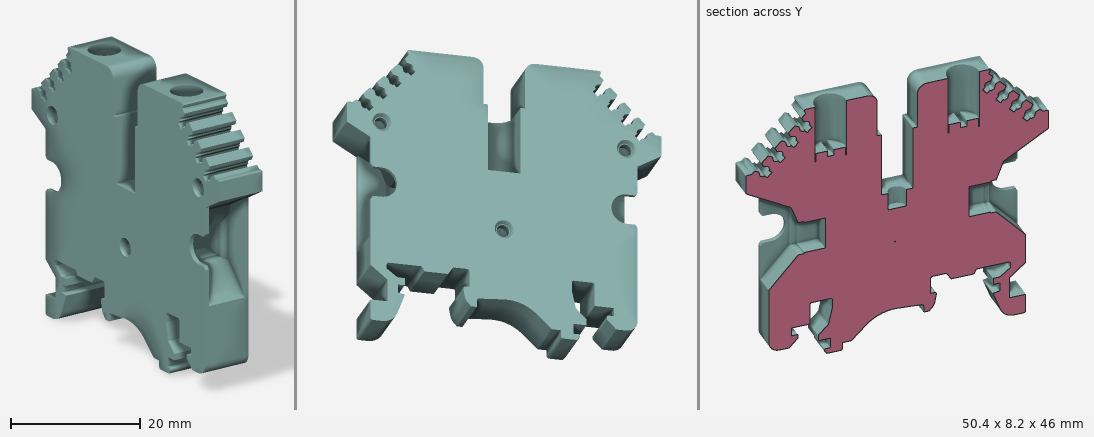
import cadquery as cq
import math

LENGTH = 50.44
WIDTH = 8.2
HEIGHT = 46.0
FRONT_Y = -WIDTH / 2
BACK_Y = WIDTH / 2
SIDE_X = 21.42
EDGE_R = 0.4
TIP_EDGE_R = 0.2
OVERCUT = 1.0

TIP_X = LENGTH / 2
TIP_TOP_Z = 36.22
TIP_BOTTOM_Z = 32.82
WING_ROOT_Z = 30.65
SLOPE_OFFSET = 60.48
TOP_EDGE_X = 15.35
TOP_LIP_X = 15.55
TOP_LIP_Z = 45.75
TIP_LEDGE_X = 24.3
SLOPE_TOP_X = 15.3
SLOPE_BOTTOM_X = 23.77

GROOVE_COUNT = 4
GROOVE_FIRST_X = 16.51
GROOVE_STEP_X = 2.23
GROOVE_DEPTH = 2.69
MOUTH_HALF = 0.79
NECK_HALF = 0.53
NECK_DEPTH = 0.75
BULB_HALF = 0.95
BULB_TOP_DEPTH = 1.5
BULB_BOTTOM_DEPTH = 2.0
SHOULDER_HALF = 0.75
KEY_HALF = 0.53

SLOT_HALF = 3.3
SLOT_FLOOR_Z = 38.32
SLOT_CORNER_R = 1.7
SOCKET_DIAMETER = 5.2
SOCKET_FLOOR_Z = 27.32
SOCKET_BACK_Y = FRONT_Y + 6.85
SOCKET_HOLE_DIAMETER = 3.0
SOCKET_HOLE_DEPTH = 3.0

SCREW_X = 11.05
SCREW_Y = -0.3
SHAFT_DIAMETER = 5.2
SHAFT_DEPTH = 10.0
HEAD_DIAMETER = 5.05
HEAD_HEIGHT = 1.5
DRIVE_SLOT_WIDTH = 1.0
DRIVE_SLOT_DEPTH = 1.0

RIVET_POSITIONS = [(-19.6, 33.42), (19.6, 33.42), (0.0, 17.65)]
RIVET_DIAMETER = 3.0
RIVET_STEP_DIAMETER = 2.3
RIVET_STEP_DEPTH = 0.7
RIVET_BORE_DIAMETER = 2.0
RIVET_BORE_DEPTH = 2.0

WALL = 0.73
FUNNEL_SILL_Z = 14.3
FUNNEL_KNEE_X = 17.75
TAPER_START_X = 16.9
FRONT_TAPER_START_X = 16.68
ENTRY_X = 16.5
ENTRY_BOTTOM_Z = 19.65
ENTRY_TOP_Z = 25.45
ENTRY_FRONT_Y = FRONT_Y + 1.1
ENTRY_BACK_Y = BACK_Y - 1.65
ENTRY_STEP = 0.2
ENTRY_STEP_DEPTH = 0.95
ENTRY_END_X = 12.0

NOTCH_Z = 23.3
NOTCH_R = 2.45
NOTCH_CENTRE_X = 19.65
NOTCH_FLARE_X = 0.4
NOTCH_FLARE_Z = 0.5


def rounded_outline(corners):
    """Closed XZ wire from (x, z) corners or (x, z, radius) rounded corners."""
    sections = []
    count = len(corners)
    for i, corner in enumerate(corners):
        x, z = corner[:2]
        if len(corner) == 2:
            sections.append([(x, z)])
            continue
        before = corners[i - 1]
        after = corners[(i + 1) % count]
        to_before = cq.Vector(before[0] - x, before[1] - z).normalized()
        to_after = cq.Vector(after[0] - x, after[1] - z).normalized()
        half_angle = to_before.getAngle(to_after) / 2
        tangent_length = corner[2] / math.tan(half_angle)
        arc_mid_reach = corner[2] / math.sin(half_angle) - corner[2]
        point = cq.Vector(x, z)
        start = point + to_before * tangent_length
        middle = point + (to_before + to_after).normalized() * arc_mid_reach
        end = point + to_after * tangent_length
        sections.append([(v.x, v.y) for v in (start, middle, end)])

    path = cq.Workplane("XZ", origin=(0, BACK_Y, 0)).moveTo(*sections[0][-1])
    for section in sections[1:] + sections[:1]:
        path = path.lineTo(*section[0])
        if len(section) > 1:
            path = path.threePointArc(*section[1:])
    return path.close()


def shoulder(side):
    """Corners of one upper shoulder, from the central slot out to the body side."""
    right_hand = [
        (SLOT_HALF, SLOT_FLOOR_Z),
        (SLOT_HALF, HEIGHT, SLOT_CORNER_R),
        (TOP_EDGE_X, HEIGHT),
        (TOP_LIP_X, TOP_LIP_Z),
        (SLOPE_TOP_X, SLOPE_OFFSET - SLOPE_TOP_X),
        (SLOPE_BOTTOM_X, SLOPE_OFFSET - SLOPE_BOTTOM_X),
        (TIP_LEDGE_X, TIP_TOP_Z),
        (TIP_X, TIP_TOP_Z, TIP_EDGE_R),
        (TIP_X, TIP_BOTTOM_Z),
        (SIDE_X, WING_ROOT_Z),
    ]
    return [(side * x, *rest) for x, *rest in right_hand]


RIGHT_FOOT = [
    (SIDE_X, 2.9, 1.8),
    (18.0, 2.9),
    (16.5, 4.4),
    (16.5, 5.1, 0.2),
    (17.6, 5.1),
    (17.6, 6.45),
    (14.5, 6.45, 0.2),
    (14.5, 10.3, 0.3),
    (10.85, 10.3, 0.3),
    (10.85, 8.6),
    (11.5, 5.7),
    (13.2, 4.1),
    (13.2, 3.05),
    (11.15, 3.05),
    (11.15, 1.4),
    (12.15, 1.4, 0.3),
    (12.15, 0.95),
    (11.7, 0.4),
    (9.1, 0.4, 0.4),
    (9.1, 1.75),
    (7.65, 1.75, 0.5),
]
UNDERSIDE = [
    (3.0, 6.1, 7.0),
    (-4.4, 5.52, 0.4),
    (-4.4, 4.1),
    (-5.3, 4.1),
    (-6.2, 5.1, 1.5),
    (-6.65, 7.35, 0.4),
    (-5.6, 7.35),
    (-5.6, 10.3, 0.3),
    (-8.2, 10.3, 0.1),
    (-9.0, 9.1),
    (-12.8, 9.1),
    (-13.2, 9.9, 0.2),
]
LEFT_FOOT = [
    (-18.85, 9.9, 0.4),
    (-18.85, 8.9),
    (-17.1, 7.6, 0.6),
    (-15.95, 7.6),
    (-15.95, 6.4),
    (-17.05, 6.4),
    (-17.05, 5.05),
    (-15.9, 4.85),
    (-17.75, 0.0, 2.6),
    (-SIDE_X, 0.0, EDGE_R),
    (-SIDE_X, 3.4),
    (-18.7, 3.4),
    (-18.7, 7.0),
    (-SIDE_X, 9.2),
]


def make_body():
    corners = shoulder(1) + RIGHT_FOOT + UNDERSIDE + LEFT_FOOT + shoulder(-1)[::-1]
    return rounded_outline(corners).extrude(WIDTH)


def make_grip_groove(index):
    """Keyhole groove on the right shoulder, running the full width."""
    half_profile = [
        (MOUTH_HALF, -OVERCUT),
        (MOUTH_HALF, 0),
        (NECK_HALF, NECK_DEPTH),
        (BULB_HALF, BULB_TOP_DEPTH),
        (SHOULDER_HALF, BULB_BOTTOM_DEPTH),
        (KEY_HALF, BULB_BOTTOM_DEPTH),
        (KEY_HALF, GROOVE_DEPTH),
    ]
    profile = half_profile + [(-across, depth) for across, depth in half_profile[::-1]]
    mouth_x = GROOVE_FIRST_X + index * GROOVE_STEP_X
    mouth_z = SLOPE_OFFSET - mouth_x
    diagonal = math.sqrt(0.5)
    points = [
        (mouth_x + (across - depth) * diagonal, mouth_z - (across + depth) * diagonal)
        for across, depth in profile
    ]
    return cq.Workplane("XZ", origin=(0, BACK_Y, 0)).polyline(points).close().extrude(WIDTH)


def make_socket():
    """Round-backed socket open to the front face, with a hole in its floor."""
    radius = SOCKET_DIAMETER / 2
    centre_y = SOCKET_BACK_Y - radius
    depth = SLOT_FLOOR_Z - SOCKET_FLOOR_Z
    socket = (
        cq.Workplane("XY", origin=(0, 0, SOCKET_FLOOR_Z))
        .moveTo(-radius, FRONT_Y - OVERCUT)
        .lineTo(radius, FRONT_Y - OVERCUT)
        .lineTo(radius, centre_y)
        .threePointArc((0, SOCKET_BACK_Y), (-radius, centre_y))
        .close()
        .extrude(depth)
    )
    hole = (
        cq.Workplane("XY", origin=(0, centre_y, SOCKET_FLOOR_Z - SOCKET_HOLE_DEPTH))
        .circle(SOCKET_HOLE_DIAMETER / 2)
        .extrude(SOCKET_HOLE_DEPTH)
    )
    return socket.union(hole)


def make_screw_shaft():
    """Shaft with a slotted screw head left standing on its floor."""
    floor_z = HEIGHT - SHAFT_DEPTH
    floor = cq.Workplane("XY", origin=(SCREW_X, SCREW_Y, floor_z))
    shaft = floor.circle(SHAFT_DIAMETER / 2).extrude(SHAFT_DEPTH)
    head = floor.circle(HEAD_DIAMETER / 2).extrude(HEAD_HEIGHT)
    drive_slot = (
        floor.workplane(offset=HEAD_HEIGHT - DRIVE_SLOT_DEPTH)
        .rect(DRIVE_SLOT_WIDTH, SHAFT_DIAMETER)
        .extrude(DRIVE_SLOT_DEPTH)
    )
    return shaft.cut(head.cut(drive_slot))


def make_rivet_recess(x, z):
    """Tapered recess with a narrower blind bore below its step."""
    face = cq.Workplane("XZ", origin=(x, FRONT_Y, z))
    taper = (
        face.circle(RIVET_DIAMETER / 2)
        .workplane(offset=-RIVET_STEP_DEPTH)
        .circle(RIVET_STEP_DIAMETER / 2)
        .loft(ruled=True)
    )
    bore = face.circle(RIVET_BORE_DIAMETER / 2).extrude(-RIVET_BORE_DEPTH)
    return taper.union(bore)


def make_funnel():
    """Wire-entry funnel on the right end, narrowing to a stepped square bore."""
    sill_slope = (ENTRY_BOTTOM_Z - FUNNEL_SILL_Z) / (SIDE_X - ENTRY_X)
    wing_slope = (TIP_BOTTOM_Z - WING_ROOT_Z) / (TIP_X - SIDE_X)
    knee_z = WING_ROOT_Z - (SIDE_X - FUNNEL_KNEE_X) * wing_slope
    side_profile = (
        cq.Workplane("XZ", origin=(0, BACK_Y, 0))
        .moveTo(SIDE_X + OVERCUT, FUNNEL_SILL_Z - OVERCUT * sill_slope)
        .lineTo(ENTRY_X, ENTRY_BOTTOM_Z)
        .lineTo(ENTRY_X, ENTRY_TOP_Z)
        .lineTo(FUNNEL_KNEE_X, knee_z)
        .lineTo(SIDE_X, WING_ROOT_Z)
        .lineTo(SIDE_X + OVERCUT, WING_ROOT_Z)
        .close()
        .extrude(WIDTH)
    )
    plan_profile = (
        cq.Workplane("XY")
        .moveTo(SIDE_X + OVERCUT, FRONT_Y + WALL)
        .lineTo(FRONT_TAPER_START_X, FRONT_Y + WALL)
        .lineTo(ENTRY_X, ENTRY_FRONT_Y)
        .lineTo(ENTRY_X, ENTRY_BACK_Y)
        .lineTo(TAPER_START_X, BACK_Y - WALL)
        .lineTo(SIDE_X + OVERCUT, BACK_Y - WALL)
        .close()
        .extrude(HEIGHT)
    )
    bore_y = (ENTRY_FRONT_Y + ENTRY_BACK_Y) / 2
    bore_z = (ENTRY_BOTTOM_Z + ENTRY_TOP_Z) / 2
    bore_width = ENTRY_BACK_Y - ENTRY_FRONT_Y
    bore_height = ENTRY_TOP_Z - ENTRY_BOTTOM_Z
    mouth = cq.Workplane("YZ", origin=(ENTRY_X, bore_y, bore_z))
    outer_bore = mouth.rect(bore_width, bore_height).extrude(-ENTRY_STEP_DEPTH)
    inner_bore = mouth.rect(bore_width - 2 * ENTRY_STEP, bore_height - 2 * ENTRY_STEP)
    inner_bore = inner_bore.extrude(ENTRY_END_X - ENTRY_X)
    return side_profile.intersect(plan_profile).union(outer_bore).union(inner_bore)


def make_notch():
    """Rounded notch with a flared mouth through the front wall, on the right end."""
    flare_start_x = SIDE_X - NOTCH_FLARE_X
    mouth_half = NOTCH_R + NOTCH_FLARE_Z
    return (
        cq.Workplane("XZ", origin=(0, FRONT_Y + WALL, NOTCH_Z))
        .moveTo(NOTCH_CENTRE_X, -NOTCH_R)
        .lineTo(flare_start_x, -NOTCH_R)
        .lineTo(SIDE_X, -mouth_half)
        .lineTo(SIDE_X, mouth_half)
        .lineTo(flare_start_x, NOTCH_R)
        .lineTo(NOTCH_CENTRE_X, NOTCH_R)
        .threePointArc((NOTCH_CENTRE_X - NOTCH_R, 0), (NOTCH_CENTRE_X, -NOTCH_R))
        .close()
        .extrude(WALL)
    )


result = make_body().cut(make_socket())

for rivet_x, rivet_z in RIVET_POSITIONS:
    result = result.cut(make_rivet_recess(rivet_x, rivet_z))

end_cuts = [make_grip_groove(index) for index in range(GROOVE_COUNT)]
end_cuts += [make_screw_shaft(), make_funnel(), make_notch()]
for end_cut in end_cuts:
    result = result.cut(end_cut).cut(end_cut.mirror("YZ"))